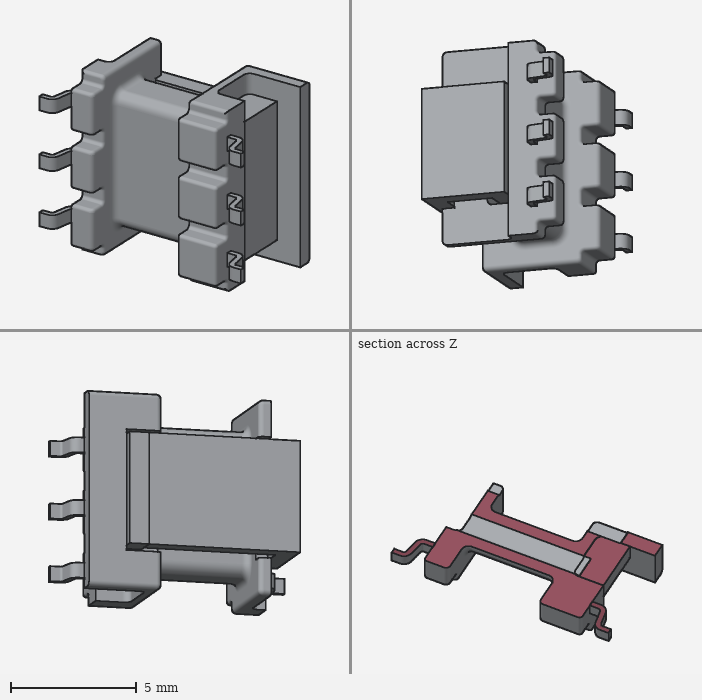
import cadquery as cq
import math


flange_height = 7.9
flange_back = 2.45
flange_front = -1.76
outer_face = 3.5
left_winding_face = -2.4
right_winding_face = 1.6
plate_thickness = 0.5
plate_edge_radius = 0.2
small_edge_radius = 0.14

foot_front = -2.55
foot_width = 1.84
foot_pitch = 2.54
foot_count = 3

channel_front = -0.54
channel_radius = 0.29
wall_front = 1.78
wall_end = 4.61
left_notch_front = 1.94

tube_wall = 0.5
hole_depth = 1.1
hole_height = 4.9
hole_radius = 0.2
tube_depth = hole_depth + 2 * tube_wall
tube_height = hole_height + 2 * tube_wall
tube_radius = 0.48
tube_root_radius = 0.3

core_height = 4.52
core_back = 2.94
core_front = channel_front
core_left = -3.96
core_joint = 2.27
core_limb = 0.8
core_right = core_joint + core_limb

filler_height = 6.08

pin_width = 0.61
pin_thickness = 0.25
pin_tip = 4.825
pin_bend_radius = 0.23
pin_bend_angle = math.radians(80)
pin_shoulder = 0.38
pin_sole = -2.76
pin_drop = 0.99

left_plate_face = left_winding_face - plate_thickness
right_plate_face = right_winding_face + plate_thickness
foot_gap = foot_pitch - foot_width
tolerance = 0.001
clear = 0.48


def box_between(x_range, y_range, height):
    """Box between two X and two Y positions, centred on Z = 0."""
    x_min, x_max = x_range
    y_min, y_max = y_range
    return (
        cq.Workplane("XY")
        .box(x_max - x_min, y_max - y_min, height)
        .translate(((x_min + x_max) / 2, (y_min + y_max) / 2, 0))
    )


def make_foot_gap(x_range, z_middle):
    """Cutter for the space beside a foot, with a rounded floor."""
    gap = box_between(x_range, (foot_front - clear, flange_front), foot_gap)
    return gap.edges("|X and >Y").fillet(small_edge_radius).translate((0, 0, z_middle))


def on_foot_front(edge):
    return abs(edge.Center().y - foot_front) < tolerance


def behind_feet(edge):
    return edge.Center().y > flange_front + tolerance


def in_front_zone(edge):
    return edge.Center().y < flange_front + tolerance


def on_front_corner(edge):
    """The sides of each foot front, and the flange's two front corners."""
    at_flange_end = abs(edge.Center().z) > flange_height / 2 - tolerance
    return in_front_zone(edge) and (on_foot_front(edge) or at_flange_end)


def flange_blank(winding_face, outer):
    """Full-thickness flange with its feet and rounded edges, before the core channel."""
    x_range = (min(winding_face, outer), max(winding_face, outer))
    blank = box_between(x_range, (foot_front, flange_back), flange_height)
    for i in range(foot_count + 1):
        blank = blank.cut(make_foot_gap(x_range, (i - foot_count / 2) * foot_pitch))

    winding_side, outer_side = ("<X", ">X") if winding_face < outer else (">X", "<X")

    winding_edges = blank.edges(winding_side)
    blank = (
        winding_edges.filter(lambda e: on_foot_front(e) or behind_feet(e))
        .add(blank.edges("|X and >Y"))
        .fillet(plate_edge_radius)
    )
    front_sides = blank.edges(winding_side).add(blank.edges(outer_side)).filter(in_front_zone)
    return (
        front_sides.add(blank.edges("|X").filter(on_front_corner))
        .fillet(small_edge_radius)
    )


def left_channel():
    """Space for the core's left limb, open to the left and to the back."""
    return (
        box_between(
            (-outer_face - clear, left_plate_face), (channel_front, flange_back + clear), flange_height
        )
        .edges("|Z and >X and <Y")
        .fillet(channel_radius)
    )


def right_channel(height, x_end):
    """Space for the core bar, between the feet block and the rear wall."""
    return (
        box_between((right_plate_face, x_end), (channel_front, wall_front), height)
        .edges("|Z and <X")
        .fillet(channel_radius)
    )


def rear_wall():
    """Wall that carries the back of the right flange on past its outer face."""
    return (
        box_between((outer_face, wall_end), (wall_front, flange_back), flange_height)
        .edges("|X and >Y")
        .fillet(plate_edge_radius)
    )


def yoke_notch(x_range, front):
    """Cutter for the opening in the back of a flange that the core yoke lies in."""
    return box_between(x_range, (front, flange_back + clear), hole_height)


def winding_tube():
    """Outer shape of the tube between the flanges, before its hole and flared ends."""
    return (
        box_between(
            (left_winding_face, right_winding_face), (-tube_depth / 2, tube_depth / 2), tube_height
        )
        .edges("|X")
        .fillet(tube_radius)
    )


def tube_hole():
    """Cutter for the hole, running on through the rounded corners of both channels."""
    x_range = (left_plate_face - channel_radius, right_plate_face + channel_radius)
    return (
        box_between(x_range, (-hole_depth / 2, hole_depth / 2), hole_height)
        .edges("|X")
        .fillet(hole_radius)
    )


def on_tube_root(edge):
    """Edges where the tube meets a flange: they lie on a winding face, within the tube's outline."""
    middle = edge.Center()
    to_winding_face = min(abs(middle.x - left_winding_face), abs(middle.x - right_winding_face))
    return (
        to_winding_face < tolerance
        and abs(middle.y) < tube_depth / 2 + tolerance
        and abs(middle.z) < tube_height / 2 + tolerance
    )


def make_bobbin():
    left = flange_blank(left_winding_face, -outer_face).cut(left_channel())
    right = flange_blank(right_winding_face, outer_face)
    right = right.cut(right_channel(flange_height, outer_face)).union(rear_wall())
    body = left.union(winding_tube()).union(right)
    body = body.edges().filter(on_tube_root).fillet(tube_root_radius)
    body = body.cut(tube_hole())
    body = body.cut(yoke_notch((left_plate_face, left_winding_face), left_notch_front))
    body = body.cut(yoke_notch((right_winding_face, core_right), wall_front))
    return body.cut(make_core_bar())


def make_core_u():
    """U piece: the yoke behind the winding, the left limb, and the limb through the tube."""
    outline = box_between((core_left, core_joint), (core_front, core_back), core_height)
    window = box_between(
        (core_left + core_limb, core_joint), (core_front + core_limb, core_back - core_limb), core_height
    )
    return outline.cut(window)


def make_core_bar():
    return box_between((core_joint, core_right), (core_front, core_back), core_height)


def make_filler():
    """Block that fills the right channel around the core bar, flush with the outer face."""
    block = right_channel(filler_height, outer_face)
    return block.cut(tube_hole()).cut(make_core_bar()).cut(make_core_u())


def make_pin(side, z_middle):
    """Gull-wing pin on the outer face of one flange; side is -1 for left and +1 for right."""
    sine = math.sin(pin_bend_angle)
    cosine = math.cos(pin_bend_angle)
    leg = (pin_drop - 2 * pin_bend_radius * (1 - cosine)) / sine
    sole_y = pin_sole + pin_thickness / 2
    shoulder_y = sole_y + pin_drop
    bend_start = outer_face + pin_shoulder
    leg_start = (bend_start + pin_bend_radius * sine, shoulder_y - pin_bend_radius * (1 - cosine))
    leg_end = (leg_start[0] + leg * cosine, leg_start[1] - leg * sine)
    sole_start = leg_end[0] + pin_bend_radius * sine

    path = (
        cq.Workplane("XY")
        .moveTo(outer_face, shoulder_y)
        .lineTo(bend_start, shoulder_y)
        .tangentArcPoint(leg_start, relative=False)
        .lineTo(*leg_end)
        .tangentArcPoint((sole_start, sole_y), relative=False)
        .lineTo(pin_tip, sole_y)
    )
    pin = (
        cq.Workplane("YZ", origin=(outer_face, shoulder_y, 0))
        .rect(pin_thickness, pin_width)
        .sweep(path)
    )
    if side < 0:
        pin = pin.mirror("YZ")
    return pin.translate((0, 0, z_middle))


bobbin = make_bobbin()
core_u = make_core_u()
core_bar = make_core_bar()
filler = make_filler()
pins = [
    make_pin(side, (i - (foot_count - 1) / 2) * foot_pitch)
    for side in (-1, 1)
    for i in range(foot_count)
]

result = cq.Compound.makeCompound(
    [bobbin.val(), core_u.val(), core_bar.val(), filler.val(), *[pin.val() for pin in pins]]
)